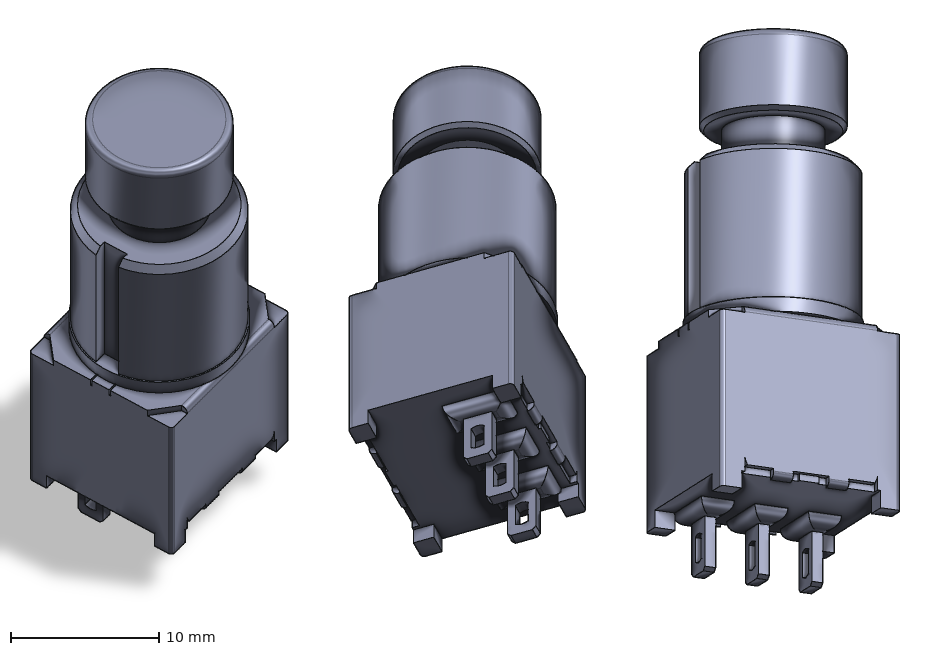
import cadquery as cq

button_top = 37
button_bottom = 31.2
bushing_top = 28.55
flange_top = 17.58
plate_top = 16.55
shoulder = 16.02
panel_bottom = 5.25
case_bottom = 4.77
strip_bottom = 4.6
potting_bottom = 3.8
leg_bottom = 3.55

button_diameter = 10
button_face_diameter = 9.0
button_fillet = (button_diameter - button_face_diameter) / 2
button_chamfer = 0.3
plunger_diameter = 7.0
bushing_diameter = 12.0
bushing_chamfer = 0.48
keyway_width = 1.9
keyway_floor = 4.95
flange_diameter = 12.2

case_x = 12.0
case_y = 13.4
corner_fillet = 0.3
leg_x = 1.48
leg_y = 1.5

plate_corner_x = 3.92
plate_corner_y = 4.95
panel_fillet = 0.48
tab_width = 1.45
tab_gap = 0.1
tab_depth = 0.75

panel_y = 2 * plate_corner_y
panel_thickness = 0.5
panel_corner_chamfer_y = 0.2
panel_corner_chamfer_z = 0.48
strip_inner = 1.35
strip_outer = 2.8
strip_fillet = 0.48
rib_width = 1.48
rib_depth = 0.2

terminal_pitch = 4.0
terminal_x = -2.5
terminal_width = 2.07
terminal_thickness = 0.8
terminal_chamfer = 0.25
eye_width = 0.92
eye_low = 0.95
eye_high = 2.7
eye_bulge = 0.15
potting_x = 4.48
potting_y = 2.45
potting_fillet = 0.92


def block(x_range, y_range, z_range):
    """Box between the given low and high X, Y and Z."""
    (x0, x1), (y0, y1), (z0, z1) = x_range, y_range, z_range
    return cq.Workplane("XY").box(x1 - x0, y1 - y0, z1 - z0, centered=False).translate((x0, y0, z0))


def disc(diameter, bottom, top):
    """Round part on the Z axis."""
    return cq.Workplane("XY").workplane(offset=bottom).circle(diameter / 2).extrude(top - bottom)


def both_sides(solid):
    """The solid together with its mirror image on the +X side."""
    return solid.union(solid.mirror("YZ"))


def make_case():
    """Box with rounded vertical edges, standing on four corner legs."""
    case = block((-case_x / 2, case_x / 2), (-case_y / 2, case_y / 2), (leg_bottom, shoulder))
    case = case.edges("|Z").fillet(corner_fillet)
    height = (leg_bottom, case_bottom)
    inner_x = case_x / 2 - leg_x
    inner_y = case_y / 2 - leg_y
    case = case.cut(block((-inner_x, inner_x), (-case_y / 2, case_y / 2), height))
    return case.cut(block((-case_x / 2, case_x / 2), (-inner_y, inner_y), height))


def make_plate():
    """Top plate with cut corners, rounded panel edges and a front tab between two gaps."""
    half_x = case_x / 2
    half_y = case_y / 2
    inner_x = half_x - panel_fillet
    height = plate_top - shoulder
    centre = (
        cq.Workplane("XY").workplane(offset=shoulder)
        .polyline([
            (plate_corner_x, half_y), (inner_x, plate_corner_y),
            (inner_x, -plate_corner_y), (plate_corner_x, -half_y),
            (-plate_corner_x, -half_y), (-inner_x, -plate_corner_y),
            (-inner_x, plate_corner_y), (-plate_corner_x, half_y),
        ])
        .close().extrude(height)
    )
    rounded = block((-half_x, half_x), (-plate_corner_y, plate_corner_y), (shoulder, plate_top))
    rounded = rounded.edges("|Y and >Z").fillet(panel_fillet)
    gap_start = -tab_width / 2 - tab_gap
    gap = block((gap_start, gap_start + tab_gap), (-half_y, tab_depth - half_y), (shoulder, plate_top))
    return centre.union(rounded).cut(both_sides(gap))


def panel_relief():
    """Space under the lower edge of the -X side panel, with cut upper corners."""
    half = panel_y / 2
    return (
        cq.Workplane("YZ").workplane(offset=-case_x / 2)
        .polyline([
            (-half, case_bottom), (half, case_bottom),
            (half, panel_bottom + panel_corner_chamfer_z),
            (half - panel_corner_chamfer_y, panel_bottom),
            (panel_corner_chamfer_y - half, panel_bottom),
            (-half, panel_bottom + panel_corner_chamfer_z),
        ])
        .close().extrude(panel_thickness)
    )


def panel_feet():
    """Two hanging strips with rounded lower edges and the rib between them, on the -X side."""
    outer = -case_x / 2
    inner = outer + panel_thickness
    feet = block((inner - rib_depth, inner), (-rib_width / 2, rib_width / 2), (case_bottom, panel_bottom))
    for y_range in ((strip_inner, strip_outer), (-strip_outer, -strip_inner)):
        strip = block((outer, inner), y_range, (strip_bottom, panel_bottom))
        feet = feet.union(strip.edges("|Y and <X and <Z").fillet(strip_fillet))
    return feet


def make_terminal(y):
    """Solder terminal with an eye, and the rounded potting at its root."""
    terminal = (
        cq.Workplane("XY").box(terminal_width, terminal_thickness, case_bottom, centered=(True, True, False))
        .edges("|Y and <Z").chamfer(terminal_chamfer)
    )
    half = eye_width / 2
    eye = (
        cq.Workplane("XZ").moveTo(-half, eye_low)
        .threePointArc((0, eye_low - eye_bulge), (half, eye_low))
        .lineTo(half, eye_high)
        .threePointArc((0, eye_high + eye_bulge), (-half, eye_high))
        .close().extrude(terminal_thickness, both=True)
    )
    potting = (
        cq.Workplane("XY").workplane(offset=potting_bottom)
        .rect(potting_x, potting_y).extrude(case_bottom - potting_bottom)
        .faces("<Z").edges().fillet(potting_fillet)
    )
    return terminal.cut(eye).union(potting).translate((terminal_x, y, 0))


def make_bushing():
    """Round bushing with a chamfered top and a keyway on its front, on a flange."""
    radius = bushing_diameter / 2
    bushing = disc(bushing_diameter, flange_top, bushing_top).faces(">Z").edges().chamfer(bushing_chamfer)
    keyway = block((-keyway_width / 2, keyway_width / 2), (-radius, -keyway_floor), (flange_top, bushing_top))
    return bushing.cut(keyway).union(disc(flange_diameter, plate_top, flange_top))


def make_button():
    """Push button on its plunger."""
    button = disc(button_diameter, button_bottom, button_top)
    button = button.faces(">Z").edges().fillet(button_fillet)
    button = button.faces("<Z").edges().chamfer(button_chamfer)
    return button.union(disc(plunger_diameter, bushing_top, button_bottom))


result = make_case().union(make_plate())
result = result.cut(both_sides(panel_relief())).union(both_sides(panel_feet()))
for row in (-1, 0, 1):
    result = result.union(make_terminal(row * terminal_pitch))
result = result.union(make_bushing()).union(make_button())